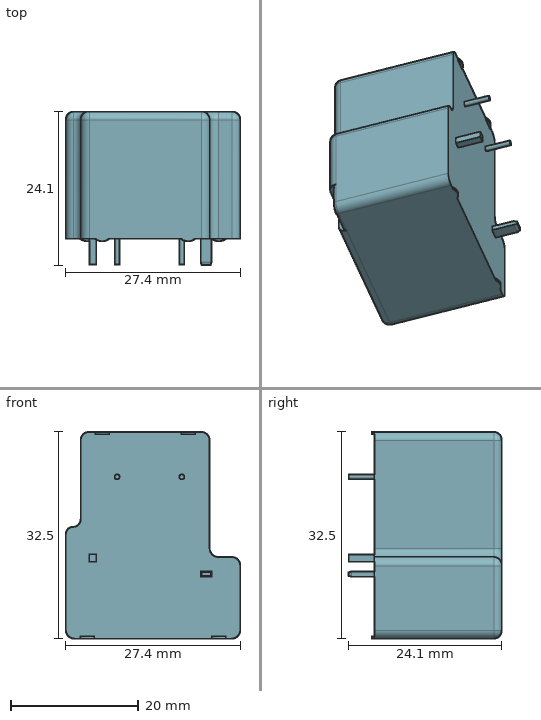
import cadquery as cq

WIDTH = 27.43
HEIGHT = 32.51
DEPTH = 20.0
UPPER_LEFT = 2.33
UPPER_RIGHT = 22.62
LEFT_SHOULDER_Z = 17.59
RIGHT_SHOULDER_Z = 12.86
CORNER_R = 1.37
SHOULDER_R = UPPER_LEFT / 2
BACK_FILLET = 1.3

RECESS_SIZE = 5.27
RECESS_DEPTH = 0.9
RECESS_RIM_FILLET = BACK_FILLET - RECESS_DEPTH
NUB_CENTER = 3.4
NUB_RADIUS = 0.84
NUB_HEIGHT = 0.75

STANDOFF_WIDTH = 2.2
STANDOFF_HEIGHT = 0.4
STANDOFF_THICKNESS = 0.4
TOP_STANDOFF_PITCH = 13.5
BOTTOM_STANDOFF_PITCH = 20.7

PIN_LENGTH = 4.06
BLADE_LENGTH = 4.11
COIL_PIN_DIAMETER = 0.8
COIL_PIN_PITCH = 10.16
COIL_PIN_CENTER_X = 13.15
COIL_PIN_Z = 25.43
SQUARE_PIN_X = 4.25
SQUARE_PIN_Z = 12.66
SQUARE_PIN_WIDTH = 1.1
SQUARE_PIN_HEIGHT = 1.2
BLADE_X = 22.05
BLADE_Z = 10.15
BLADE_WIDTH = 1.74
BLADE_HEIGHT = 0.85
BLADE_TIP_LENGTH = 0.5
BLADE_TIP_INSET = 0.15


def plane_at(y, x=0, z=0):
    """XZ sketch plane centred on the given point; extruding goes toward -Y."""
    return cq.Workplane("XZ", origin=(x, y, z))


def make_rounded_prism(back_y, rim_fillet):
    """Stepped prism from the front face to back_y, with rounded long edges and back rim."""
    r = CORNER_R
    outline = (
        plane_at(back_y)
        .moveTo(r, 0)
        .lineTo(WIDTH - r, 0)
        .radiusArc((WIDTH, r), -r)
        .lineTo(WIDTH, RIGHT_SHOULDER_Z - r)
        .radiusArc((WIDTH - r, RIGHT_SHOULDER_Z), -r)
        .lineTo(UPPER_RIGHT + r, RIGHT_SHOULDER_Z)
        .radiusArc((UPPER_RIGHT, RIGHT_SHOULDER_Z + r), r)
        .lineTo(UPPER_RIGHT, HEIGHT - r)
        .radiusArc((UPPER_RIGHT - r, HEIGHT), -r)
        .lineTo(UPPER_LEFT + r, HEIGHT)
        .radiusArc((UPPER_LEFT, HEIGHT - r), -r)
        .lineTo(UPPER_LEFT, LEFT_SHOULDER_Z + SHOULDER_R)
        .radiusArc((SHOULDER_R, LEFT_SHOULDER_Z), SHOULDER_R)
        .radiusArc((0, LEFT_SHOULDER_Z - SHOULDER_R), -SHOULDER_R)
        .lineTo(0, r)
        .radiusArc((r, 0), -r)
        .close()
    )
    return outline.extrude(back_y).faces(">Y").edges().fillet(rim_fillet)


def make_recess_column():
    """Square column through the full depth over the recess area."""
    return plane_at(DEPTH).rect(RECESS_SIZE, RECESS_SIZE, centered=False).extrude(DEPTH)


def make_shell():
    """Prism with a rounded back rim, and a corner recess whose floor has its own rounded rim."""
    full_prism = make_rounded_prism(DEPTH, BACK_FILLET)
    lower_prism = make_rounded_prism(DEPTH - RECESS_DEPTH, RECESS_RIM_FILLET)
    recess_column = make_recess_column()
    return full_prism.cut(recess_column).union(lower_prism.intersect(recess_column))


def make_nub():
    """Round nub standing on the recess floor."""
    floor_y = DEPTH - RECESS_DEPTH
    return plane_at(floor_y, NUB_CENTER, NUB_CENTER).circle(NUB_RADIUS).extrude(-NUB_HEIGHT)


def make_standoff(x, z):
    """Circular segment on the front face, centred on x, with its lower side at z."""
    half_width = STANDOFF_WIDTH / 2
    return (
        cq.Workplane("XY", origin=(x, 0, z))
        .moveTo(-half_width, 0)
        .threePointArc((0, -STANDOFF_HEIGHT), (half_width, 0))
        .close()
        .extrude(STANDOFF_THICKNESS)
    )


def make_housing():
    body = make_shell().union(make_nub())
    top_center_x = (UPPER_LEFT + UPPER_RIGHT) / 2
    for side in (-1, 1):
        top_x = top_center_x + side * TOP_STANDOFF_PITCH / 2
        bottom_x = WIDTH / 2 + side * BOTTOM_STANDOFF_PITCH / 2
        body = body.union(make_standoff(top_x, HEIGHT - STANDOFF_THICKNESS))
        body = body.union(make_standoff(bottom_x, 0))
    return body


def make_coil_pin(x):
    return plane_at(0, x, COIL_PIN_Z).circle(COIL_PIN_DIAMETER / 2).extrude(PIN_LENGTH)


def make_square_pin():
    section = plane_at(0, SQUARE_PIN_X, SQUARE_PIN_Z).rect(SQUARE_PIN_WIDTH, SQUARE_PIN_HEIGHT)
    return section.extrude(PIN_LENGTH)


def make_blade_pin():
    """Flat pin with a tip bevelled on all four sides."""
    section = plane_at(0, BLADE_X, BLADE_Z).rect(BLADE_WIDTH, BLADE_HEIGHT)
    blade = section.extrude(BLADE_LENGTH)
    return blade.faces("<Y").edges().chamfer(BLADE_TIP_LENGTH, BLADE_TIP_INSET)


housing = make_housing()
coil_pins = [make_coil_pin(COIL_PIN_CENTER_X + side * COIL_PIN_PITCH / 2) for side in (-1, 1)]
square_pin = make_square_pin()
blade_pin = make_blade_pin()

result = cq.Compound.makeCompound([
    housing.val(),
    *[pin.val() for pin in coil_pins],
    square_pin.val(),
    blade_pin.val(),
])